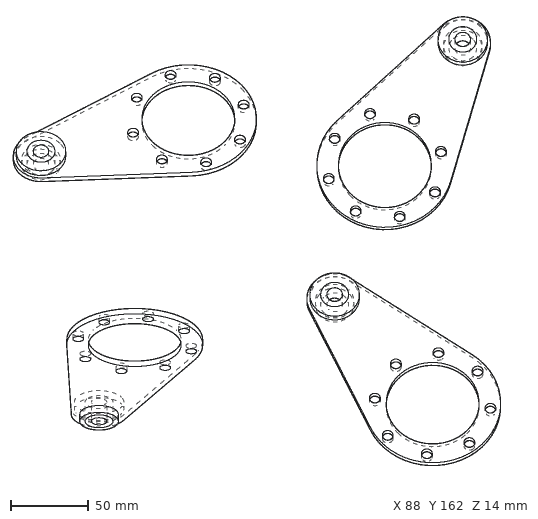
import cadquery as cq
import math

PLATE_THICKNESS = 4.0
RING_RADIUS = 44.0
RING_OPENING_DIAMETER = 60.0
TAIL_RADIUS = 18.0
CENTER_DISTANCE = 100.0

BOLT_COUNT = 8
BOLT_HOLE_DIAMETER = 7.0
BOLT_CIRCLE_RADIUS = 37.5

UPPER_BOSS_DIAMETER = 32.0
UPPER_BOSS_HEIGHT = 5.0
LOWER_BOSS_DIAMETER = 25.0
LOWER_BOSS_HEIGHT = 5.0

SLEEVE_OUTER_DIAMETER = 18.0
SLEEVE_BORE_DIAMETER = 10.0

PIVOT_CENTER = (0, -CENTER_DISTANCE)
PIVOT_BOTTOM = -LOWER_BOSS_HEIGHT
PIVOT_HEIGHT = LOWER_BOSS_HEIGHT + PLATE_THICKNESS + UPPER_BOSS_HEIGHT


def pivot_cylinder(diameter, bottom, height):
    """Upright cylinder on the pivot axis."""
    return (
        cq.Workplane("XY", origin=(*PIVOT_CENTER, bottom))
        .circle(diameter / 2)
        .extrude(height)
    )


def make_plate_blank():
    """Tapered plate: two end arcs joined by their common tangents."""
    tangent_sine = (RING_RADIUS - TAIL_RADIUS) / CENTER_DISTANCE
    tangent_cosine = math.sqrt(1 - tangent_sine**2)
    ring_x = RING_RADIUS * tangent_cosine
    ring_y = -RING_RADIUS * tangent_sine
    tail_x = TAIL_RADIUS * tangent_cosine
    tail_y = -CENTER_DISTANCE - TAIL_RADIUS * tangent_sine
    return (
        cq.Workplane("XY")
        .moveTo(ring_x, ring_y)
        .threePointArc((0, RING_RADIUS), (-ring_x, ring_y))
        .lineTo(-tail_x, tail_y)
        .threePointArc((0, -CENTER_DISTANCE - TAIL_RADIUS), (tail_x, tail_y))
        .close()
        .extrude(PLATE_THICKNESS)
    )


def make_ring_cutters():
    """Large central opening and the circle of bolt holes around it."""
    opening = cq.Workplane("XY").circle(RING_OPENING_DIAMETER / 2).extrude(PLATE_THICKNESS)
    bolt_holes = (
        cq.Workplane("XY")
        .polarArray(BOLT_CIRCLE_RADIUS, 0, 360, BOLT_COUNT)
        .circle(BOLT_HOLE_DIAMETER / 2)
        .extrude(PLATE_THICKNESS)
    )
    return opening.add(bolt_holes).combine()


def make_arm():
    """Plate with a boss on each face at the pivot, bored through for the sleeve."""
    upper_boss = pivot_cylinder(UPPER_BOSS_DIAMETER, PLATE_THICKNESS, UPPER_BOSS_HEIGHT)
    lower_boss = pivot_cylinder(LOWER_BOSS_DIAMETER, PIVOT_BOTTOM, LOWER_BOSS_HEIGHT)
    sleeve_seat = pivot_cylinder(SLEEVE_OUTER_DIAMETER, PIVOT_BOTTOM, PIVOT_HEIGHT)
    return (
        make_plate_blank()
        .cut(make_ring_cutters())
        .union(upper_boss)
        .union(lower_boss)
        .cut(sleeve_seat)
    )


def make_sleeve():
    """Plain bushing, flush with both boss faces."""
    body = pivot_cylinder(SLEEVE_OUTER_DIAMETER, PIVOT_BOTTOM, PIVOT_HEIGHT)
    bore = pivot_cylinder(SLEEVE_BORE_DIAMETER, PIVOT_BOTTOM, PIVOT_HEIGHT)
    return body.cut(bore)


arm = make_arm()
sleeve = make_sleeve()

result = cq.Compound.makeCompound([arm.val(), sleeve.val()])